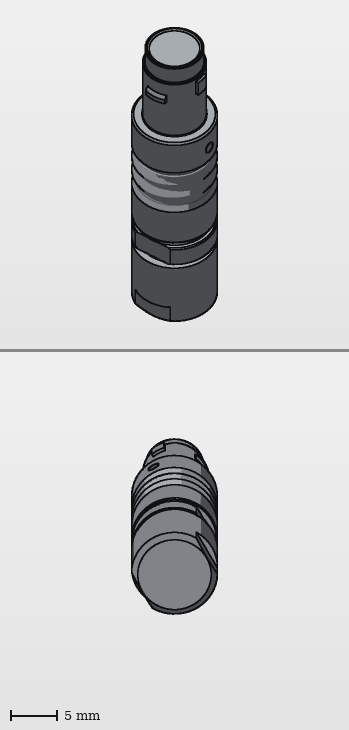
import cadquery as cq

length = 37.45
outer_radius = 4.65

back_nut_top = 8.58
lower_neck_flare = 8.75
ring_bottom = 9.0
ring_top = 11.5
upper_neck_flare = 11.7
sleeve_bottom = 12.3
sleeve_top = 17.05
collar_bottom = 23.05
collar_top = 27.4
tip_bottom = 35.3

lower_neck_radius = 3.7
lower_flare_radius = 3.8
upper_neck_radius = 3.9
upper_flare_radius = 4.1
body_radius = 3.45
body_foot_radius = 3.52
tip_radius = 3.2

back_chamfer_width = 0.67
back_chamfer_height = 0.52
ring_chamfer = 0.15
sleeve_chamfer_width = 0.1
sleeve_chamfer_height = 0.22
collar_chamfer = 0.22
body_foot_height = 0.1
small_chamfer = 0.1

valley_radius = 4.15
wave_count = 2
wave_pitch = 2.02
bellows_cone_height = 0.67
bellows_cone_radius = 4.25

recess_rim_radius = 2.95
recess_floor_radius = 2.75
recess_depth = 0.15

flat_distance = 4.0
back_flat_height = 2.6

key_radius = 3.8
key_bottom = 33.0
key_top = 34.83
key_width = 1.5

latch_bottom = 32.5
latch_edge = 33.05
latch_top = 33.48
latch_width = 2.5

mark_radius = 0.65
mark_level = 24.98
mark_reach = 4.68


def bellows_curve():
    """Points of the wavy stretch: valleys, crests and the points halfway between them."""
    middle_radius = (valley_radius + outer_radius) / 2
    radii = [valley_radius, middle_radius, outer_radius, middle_radius]
    step = wave_pitch / len(radii)
    first_valley = (sleeve_top + collar_bottom - wave_count * wave_pitch) / 2
    return [
        (radii[i % len(radii)], first_valley + i * step)
        for i in range(len(radii) * wave_count + 1)
    ]


def turned_body():
    """All round parts of the plug, as one turned profile."""
    cone_slant = outer_radius - bellows_cone_radius
    lower_cone_top = (bellows_cone_radius, sleeve_top + bellows_cone_height)
    upper_cone_bottom = (bellows_cone_radius, collar_bottom - bellows_cone_height)
    profile = (
        cq.Workplane("XZ")
        .lineTo(outer_radius - back_chamfer_width, 0)
        .lineTo(outer_radius, back_chamfer_height)
        .lineTo(outer_radius, back_nut_top)
        .lineTo(lower_flare_radius, back_nut_top)
        .lineTo(lower_neck_radius, lower_neck_flare)
        .lineTo(lower_neck_radius, ring_bottom)
        .lineTo(outer_radius - ring_chamfer, ring_bottom)
        .lineTo(outer_radius, ring_bottom + ring_chamfer)
        .lineTo(outer_radius, ring_top - ring_chamfer)
        .lineTo(outer_radius - ring_chamfer, ring_top)
        .lineTo(upper_flare_radius, ring_top)
        .lineTo(upper_neck_radius, upper_neck_flare)
        .lineTo(upper_neck_radius, sleeve_bottom)
        .lineTo(outer_radius - sleeve_chamfer_width, sleeve_bottom)
        .lineTo(outer_radius, sleeve_bottom + sleeve_chamfer_height)
        .lineTo(outer_radius, sleeve_top)
        .lineTo(*lower_cone_top)
        .spline(
            bellows_curve() + [upper_cone_bottom],
            tangents=[(-cone_slant, bellows_cone_height), (cone_slant, bellows_cone_height)],
            includeCurrent=True,
        )
        .lineTo(outer_radius, collar_bottom)
        .lineTo(outer_radius, collar_top - collar_chamfer)
        .lineTo(outer_radius - collar_chamfer, collar_top)
        .lineTo(body_foot_radius, collar_top)
        .lineTo(body_radius, collar_top + body_foot_height)
        .lineTo(body_radius, tip_bottom - small_chamfer)
        .lineTo(body_radius - small_chamfer, tip_bottom)
        .lineTo(tip_radius, tip_bottom)
        .lineTo(tip_radius, length - small_chamfer)
        .lineTo(tip_radius - small_chamfer, length)
        .lineTo(recess_rim_radius, length)
        .lineTo(recess_floor_radius, length - recess_depth)
        .lineTo(0, length - recess_depth)
        .close()
    )
    return profile.revolve(360, (0, 0), (0, 1))


def side_cut(side, bottom, top):
    """Block that leaves a flat at flat_distance on the -Y (-1) or +Y (+1) side."""
    centre_y = side * (flat_distance + outer_radius)
    return (
        cq.Workplane("XY", origin=(0, centre_y, bottom))
        .rect(2 * outer_radius, 2 * outer_radius)
        .extrude(top - bottom)
    )


def key():
    """Key with a rounded outer face on the +X side."""
    height = key_top - key_bottom
    base = cq.Workplane("XY", origin=(0, 0, key_bottom))
    bar = base.rect(key_radius, key_width).extrude(height).translate((key_radius / 2, 0, 0))
    return bar.intersect(base.circle(key_radius).extrude(height))


def latches():
    """Pair of latches, sloped on top."""
    disc = (
        cq.Workplane("XZ")
        .moveTo(0, latch_bottom)
        .lineTo(key_radius, latch_bottom)
        .lineTo(key_radius, latch_edge)
        .lineTo(body_radius, latch_top)
        .lineTo(0, latch_top)
        .close()
        .revolve(360, (0, 0), (0, 1))
    )
    bar = cq.Workplane("XY", origin=(0, 0, latch_bottom)).rect(latch_width, 2 * key_radius)
    return disc.intersect(bar.extrude(latch_top - latch_bottom))


def alignment_mark():
    """Flat-faced disc that barely stands out of the collar."""
    return cq.Workplane("YZ").center(0, mark_level).circle(mark_radius).extrude(mark_reach)


result = turned_body()
for side in (-1, 1):
    result = result.cut(side_cut(side, 0, back_flat_height))
    result = result.cut(side_cut(side, ring_bottom, ring_top))
result = result.union(key()).union(latches()).union(alignment_mark())